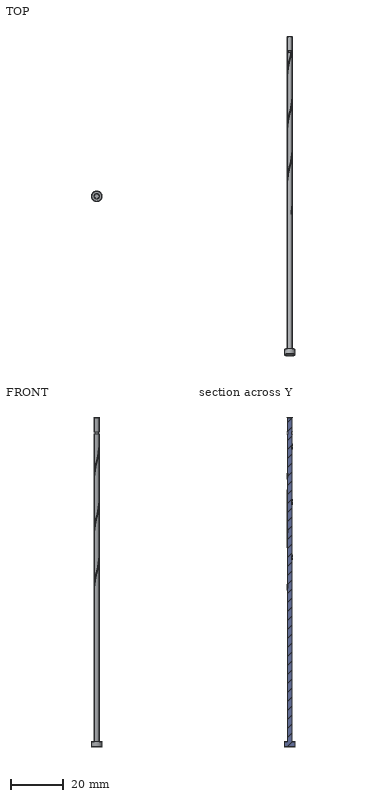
import cadquery as cq

total_length = 125.0
shaft_diameter = 2.0
head_diameter = 4.0
head_height = 2.0

tip_length = 5.5
ring_groove_width = 0.7
groove_depth = 0.3

helix_pitch = 21.0
helix_turns = 3
helix_groove_width = 1.2
cutter_overlap = 0.2

shaft_radius = shaft_diameter / 2
ring_groove_top = total_length - tip_length
ring_groove_bottom = ring_groove_top - ring_groove_width
helix_height = helix_pitch * helix_turns
helix_top = ring_groove_top - helix_groove_width / 2
helix_bottom = helix_top - helix_height
helix_start_angle = 90.0


def make_pin():
    """Round head at the bottom with a long slender shaft above it."""
    head = cq.Workplane("XY").circle(head_diameter / 2).extrude(head_height)
    shaft = cq.Workplane("XY").circle(shaft_radius).extrude(total_length)
    return head.union(shaft)


def make_ring_groove():
    """Square-section ring cutter that necks the shaft below its tip."""
    return (
        cq.Workplane("XY")
        .workplane(offset=ring_groove_bottom)
        .circle(shaft_radius + cutter_overlap)
        .circle(shaft_radius - groove_depth)
        .extrude(ring_groove_width)
    )


def make_helical_groove():
    """Right-handed spiral cutter running from the ring groove down the shaft."""
    path = cq.Wire.makeHelix(helix_pitch, helix_height, shaft_radius)
    radial_size = groove_depth + cutter_overlap
    radial_center = shaft_radius + (cutter_overlap - groove_depth) / 2
    cutter = (
        cq.Workplane("XZ")
        .center(radial_center, 0)
        .rect(radial_size, helix_groove_width)
        .sweep(cq.Workplane(path), isFrenet=True)
    )
    return cutter.rotate((0, 0, 0), (0, 0, 1), helix_start_angle).translate((0, 0, helix_bottom))


result = make_pin().cut(make_helical_groove()).cut(make_ring_groove())